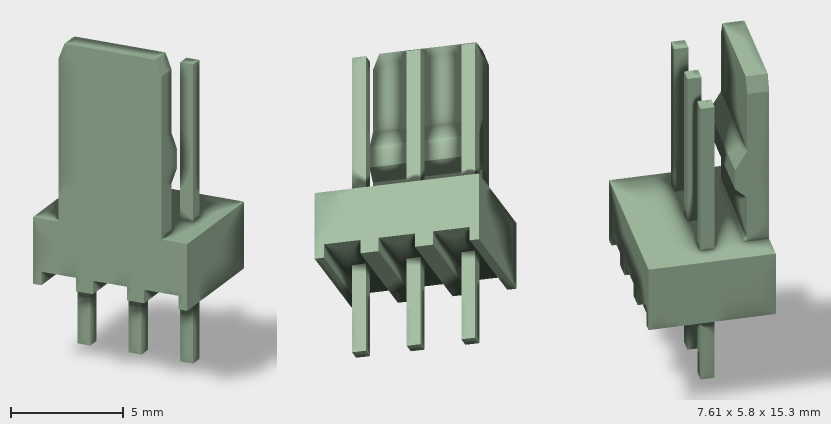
import cadquery as cq

pin_count = 3
pin_pitch = 2.53
pin_side = 0.64
pin_length = 14.24
pin_positions = [(i - (pin_count - 1) / 2) * pin_pitch for i in range(pin_count)]

base_width = 7.61
base_depth = 5.8
base_bottom = 3.57
base_top = 6.75
base_front = -2.88
base_middle = base_front + base_depth / 2

groove_width = 1.7
groove_height = 0.64

tab_width = 5.08
tab_thickness = 1.0
tab_top = 15.26
tab_back = base_front + tab_thickness
corner_width = 0.29
corner_height = 0.75
root_chamfer = 0.15

ridge_height = 0.55
ridge_start = 9.06
ridge_flat_start = 9.57
ridge_flat_end = 10.56
ridge_end = 11.49
ridge_back = tab_back + ridge_height


def make_base():
    """Block with a groove running front to back under each pin."""
    base = cq.Workplane("XY").workplane(offset=base_bottom).center(0, base_middle).rect(base_width, base_depth)
    base = base.extrude(base_top - base_bottom)
    for x in pin_positions:
        groove = cq.Workplane("XY").box(groove_width, base_depth, groove_height, centered=(True, True, False))
        base = base.cut(groove.translate((x, base_middle, base_bottom)))
    return base


def make_tab():
    """Ridged side profile extruded across the tab, with its two upper corners cut off."""
    tab = (
        cq.Workplane("YZ")
        .moveTo(base_front, base_top)
        .lineTo(tab_back + root_chamfer, base_top)
        .lineTo(tab_back, base_top + root_chamfer)
        .lineTo(tab_back, ridge_start)
        .lineTo(ridge_back, ridge_flat_start)
        .lineTo(ridge_back, ridge_flat_end)
        .lineTo(tab_back, ridge_end)
        .lineTo(tab_back, tab_top)
        .lineTo(base_front, tab_top)
        .close()
        .extrude(tab_width / 2, both=True)
    )
    for side in (-1, 1):
        edge = side * tab_width / 2
        corner = (
            cq.Workplane("XZ", origin=(0, tab_back, 0))
            .moveTo(edge, tab_top)
            .lineTo(edge - side * corner_width, tab_top)
            .lineTo(edge, tab_top - corner_height)
            .close()
            .extrude(tab_thickness)
        )
        tab = tab.cut(corner)
    return tab


def make_pin(x):
    """Square pin standing at the given X position."""
    return cq.Workplane("XY").center(x, 0).rect(pin_side, pin_side).extrude(pin_length)


pins = [make_pin(x) for x in pin_positions]

housing = make_base().union(make_tab())
for pin in pins:
    housing = housing.cut(pin)

result = cq.Compound.makeCompound([housing.solids().val(), *[pin.val() for pin in pins]])